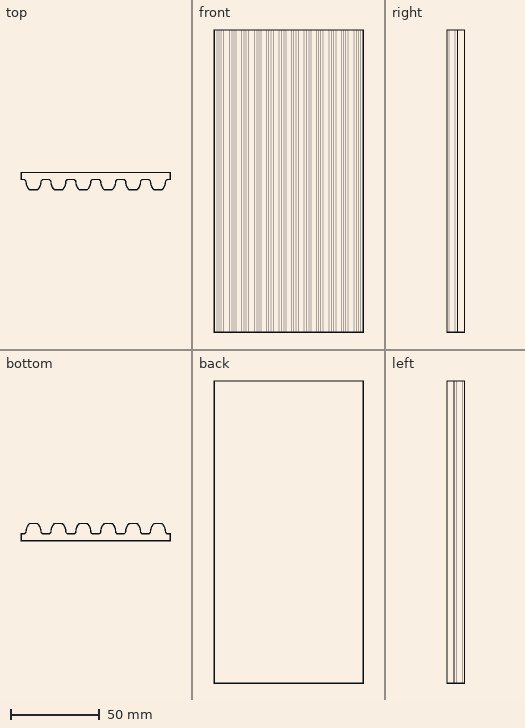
import cadquery as cq

belt_width = 170.0
belt_length = 84.0
belt_thickness = 9.9
back_thickness = 4.0
tooth_count = 6
pitch = belt_length / tooth_count

root_radius = 1.2
flank_half_width = 4.2
root_half_width = flank_half_width + root_radius
shoulder_half_width = 3.0
tip_half_width = 1.62
tip_rounding_height = 1.0

tip_rounding_width = shoulder_half_width - tip_half_width
tip_radius = (tip_rounding_width**2 + tip_rounding_height**2) / (2 * tip_rounding_height)

back_y = belt_thickness / 2
root_y = back_y - back_thickness
flank_y = root_y - root_radius
tip_y = -belt_thickness / 2
shoulder_y = tip_y + tip_rounding_height

flank_run = flank_half_width - shoulder_half_width
flank_height = flank_y - shoulder_y
flank_radius = (flank_run**2 + flank_height**2) / (2 * flank_run)


def add_tooth(profile, center_x):
    """Extend the profile over one tooth, from its -X root to its +X root."""
    return (
        profile
        .lineTo(center_x - root_half_width, root_y)
        .radiusArc((center_x - flank_half_width, flank_y), root_radius)
        .radiusArc((center_x - shoulder_half_width, shoulder_y), -flank_radius)
        .radiusArc((center_x - tip_half_width, tip_y), -tip_radius)
        .lineTo(center_x + tip_half_width, tip_y)
        .radiusArc((center_x + shoulder_half_width, shoulder_y), -tip_radius)
        .radiusArc((center_x + flank_half_width, flank_y), -flank_radius)
        .radiusArc((center_x + root_half_width, root_y), root_radius)
    )


profile = (
    cq.Workplane("XY")
    .moveTo(-belt_length / 2, back_y)
    .lineTo(-belt_length / 2, root_y)
)
for index in range(tooth_count):
    profile = add_tooth(profile, (index - (tooth_count - 1) / 2) * pitch)
profile = profile.lineTo(belt_length / 2, root_y).lineTo(belt_length / 2, back_y).close()

result = profile.extrude(belt_width / 2, both=True)